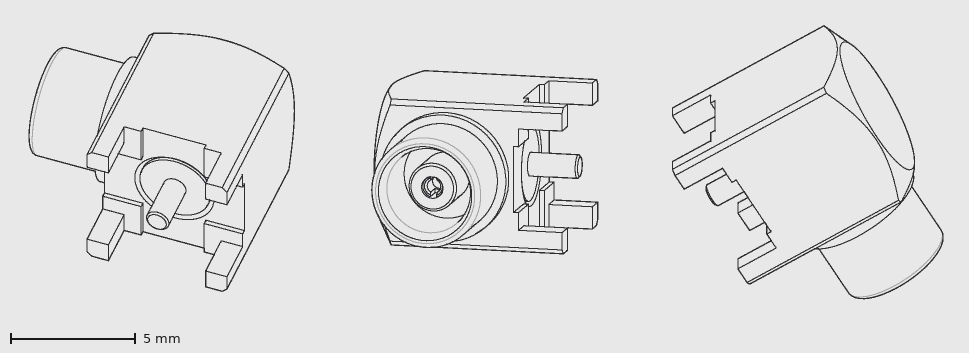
import cadquery as cq
import math


body_size = 6.0
body_half = body_size / 2
back_y = body_half
base_y = -2.8
turned_radius = 4.1
back_flat_radius = 2.9
back_cone_angle = 30.0

pad_size = 1.65
pad_height = 0.2
leg_size = 0.92
leg_length = 2.0

rear_insulator_radius = 1.5
rear_insulator_setback = 0.05
hole_chamfer = 0.2

pin_radius = 0.48
pin_tip_chamfer = 0.08

flange_radius = 2.6
flange_length = 0.5
barrel_radius = 2.25
barrel_length = 3.0
barrel_fillet = 0.2
barrel_front_x = -body_half - flange_length - barrel_length

mouth_radius = 1.93
bore_radius = 1.73
taper_length = 0.6
bore_depth = 3.5

insulator_radius = 0.98
insulator_chamfer = 0.1
insulator_setback = 1.2
contact_radius = 0.44
contact_setback = 0.2
contact_lead_in_radius = 0.37
contact_bore_radius = 0.28
contact_bore_depth = 1.0
contact_lead_in = contact_lead_in_radius - contact_bore_radius
drill_tip_slope = 30.0
drill_tip_length = contact_bore_radius * math.tan(math.radians(drill_tip_slope))
slot_width = 0.26
slot_depth = 0.8


def revolve_about_x(profile):
    """Turn a closed list of (x, radius) points about the X axis."""
    return cq.Workplane("XY").polyline(profile).close().revolve(360, (0, 0, 0), (1, 0, 0))


def revolve_about_y(profile):
    """Turn a closed list of (radius, y) points about the Y axis."""
    return cq.Workplane("XY").polyline(profile).close().revolve(360, (0, 0, 0), (0, 1, 0))


def cylinder_along_x(start_x, length, radius):
    return cq.Workplane("YZ", origin=(start_x, 0, 0)).circle(radius).extrude(length)


def along_base(size_x, size_z, start_y, length, center_x=0, center_z=0):
    """Box that starts at start_y and extends by length toward -Y."""
    plane = cq.Workplane("XZ", origin=(center_x, start_y, center_z))
    return plane.rect(size_x, size_z).extrude(length)


def make_corner_posts(size, height):
    """Four square posts on the base face, flush with the corners of the block."""
    offset = body_half - size / 2
    posts = cq.Workplane("XY")
    for side_x in (-1, 1):
        for side_z in (-1, 1):
            posts = posts.add(along_base(size, size, base_y, height, side_x * offset, side_z * offset))
    return posts.combine()


def make_turned_blank():
    """Turned blank: its cylinder breaks the long corners, its cone trims the rear ones."""
    drop = (turned_radius - back_flat_radius) * math.tan(math.radians(back_cone_angle))
    legs_end_y = base_y - leg_length
    return revolve_about_y([
        (0, legs_end_y),
        (turned_radius, legs_end_y),
        (turned_radius, back_y - drop),
        (back_flat_radius, back_y),
        (0, back_y),
    ])


def make_housing():
    block = along_base(body_size, body_size, back_y, back_y - base_y)
    block = block.union(make_corner_posts(pad_size, pad_height))
    block = block.union(make_corner_posts(leg_size, leg_length))
    return block.intersect(make_turned_blank())


def make_base_recess():
    """Hole chamfer around the rear insulator, and the shallow step down to its end face."""
    insulator_end_y = base_y + rear_insulator_setback
    return revolve_about_y([
        (0, base_y),
        (rear_insulator_radius + hole_chamfer, base_y),
        (rear_insulator_radius, base_y + hole_chamfer),
        (rear_insulator_radius, insulator_end_y),
        (0, insulator_end_y),
    ])


def make_pin():
    pin = cq.Workplane("XZ", origin=(0, base_y + rear_insulator_setback, 0))
    pin = pin.circle(pin_radius).extrude(leg_length + rear_insulator_setback)
    return pin.faces("<Y").chamfer(pin_tip_chamfer)


def make_barrel():
    barrel = cylinder_along_x(barrel_front_x, barrel_length, barrel_radius)
    barrel = barrel.faces("<X").edges().fillet(barrel_fillet)
    flange = cylinder_along_x(-body_half - flange_length, flange_length, flange_radius)
    return barrel.union(flange)


def make_socket():
    bore_floor_x = barrel_front_x + bore_depth
    return revolve_about_x([
        (barrel_front_x, 0),
        (barrel_front_x, mouth_radius),
        (barrel_front_x + taper_length, bore_radius),
        (bore_floor_x, bore_radius),
        (bore_floor_x, 0),
    ])


def make_insulator():
    length = bore_depth - insulator_setback
    insulator = cylinder_along_x(barrel_front_x + insulator_setback, length, insulator_radius)
    return insulator.faces("<X").edges().chamfer(insulator_chamfer)


def make_contact_opening():
    """Insulator hole in front of the contact, then the contact's bore and cross slot."""
    insulator_front_x = barrel_front_x + insulator_setback
    contact_front_x = insulator_front_x + contact_setback
    bore_end_x = contact_front_x + contact_bore_depth
    opening = revolve_about_x([
        (insulator_front_x, 0),
        (insulator_front_x, contact_radius),
        (contact_front_x, contact_radius),
        (contact_front_x, contact_lead_in_radius),
        (contact_front_x + contact_lead_in, contact_bore_radius),
        (bore_end_x, contact_bore_radius),
        (bore_end_x + drill_tip_length, 0),
    ])
    slot = cq.Workplane("YZ", origin=(contact_front_x, 0, 0))
    slot = slot.rect(slot_width, 2 * contact_radius).extrude(slot_depth)
    slot = slot.intersect(cylinder_along_x(contact_front_x, slot_depth, contact_radius))
    return opening.union(slot)


housing = make_housing().cut(make_base_recess()).union(make_pin())
jack = housing.union(make_barrel()).cut(make_socket())
result = jack.union(make_insulator()).cut(make_contact_opening())